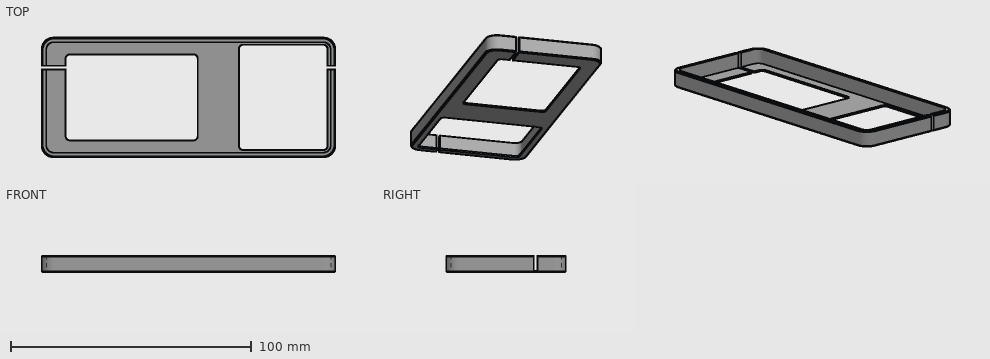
import cadquery as cq

length = 122.0
width = 49.8
height = 7.0
corner_radius = 5.0
edge_chamfer = 0.5

wall = 2.0
floor_thickness = 0.7

window_radius = 1.7
left_window_x = (-51.0, 3.8)
left_window_width = 35.6
right_window_x = (21.0, 57.7)
right_window_width = 43.7

slit_width = 1.5
slit_y = 12.3


def rounded_block(size_x, size_y, size_z, radius):
    """Block standing on Z = 0 with rounded vertical edges."""
    block = cq.Workplane("XY").box(size_x, size_y, size_z, centered=(True, True, False))
    return block.edges("|Z").fillet(radius)


def window(x_range, size_y):
    """Cutter for a rounded rectangular opening through the floor."""
    x_start, x_end = x_range
    cutter = rounded_block(x_end - x_start, size_y, height, window_radius)
    return cutter.translate(((x_start + x_end) / 2, 0, 0))


body = rounded_block(length, width, height, corner_radius)
body = body.faces("<Z or >Z").edges().chamfer(edge_chamfer)
cavity = rounded_block(length - 2 * wall, width - 2 * wall, height, corner_radius - wall)
tray = body.cut(cavity.translate((0, 0, floor_thickness)))

left_window = window(left_window_x, left_window_width)
right_window = window(right_window_x, right_window_width)
frame = tray.cut(left_window).cut(right_window)

left_slit_length = left_window_x[0] + length / 2
right_slit_length = length / 2 - right_window_x[1]
for side, slit_length in ((-1, left_slit_length), (1, right_slit_length)):
    slit = cq.Workplane("XY").box(2 * slit_length, slit_width, height, centered=(True, True, False))
    frame = frame.cut(slit.translate((side * length / 2, slit_y, 0)))

result = frame